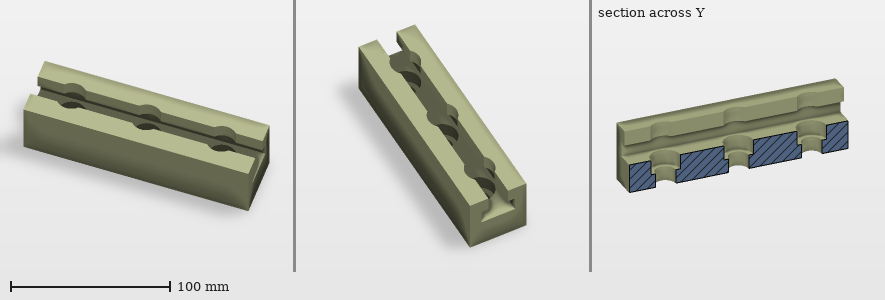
import cadquery as cq

length = 150.0
side = 40.0

lip_height = 10.0
mouth_width = 14.0
undercut_width = 24.0
undercut_height = 10.0
floor_z = side - lip_height - undercut_height

hole_count = 3
hole_spacing = length / hole_count
hole_diameter = 13.5
head_diameter = 20.0
counterbore_depth = 10.0
counterbore_z = floor_z - counterbore_depth


def slot_cutter(width, bottom_z, height):
    """Full-length channel centred on the block's XZ mid-plane."""
    return (
        cq.Workplane("XY")
        .box(length, width, height, centered=(True, True, False))
        .translate((0, 0, bottom_z))
    )


block = cq.Workplane("XY").box(length, side, side, centered=(True, True, False))
mouth = slot_cutter(mouth_width, side - lip_height, lip_height)
undercut = slot_cutter(undercut_width, floor_z, undercut_height)
result = block.cut(mouth).cut(undercut)

hole_centers = [((i - (hole_count - 1) / 2) * hole_spacing, 0) for i in range(hole_count)]
holes = cq.Workplane("XY").pushPoints(hole_centers).circle(hole_diameter / 2).extrude(side)
counterbores = (
    cq.Workplane("XY", origin=(0, 0, counterbore_z))
    .pushPoints(hole_centers)
    .circle(head_diameter / 2)
    .extrude(side - counterbore_z)
)
result = result.cut(holes).cut(counterbores)